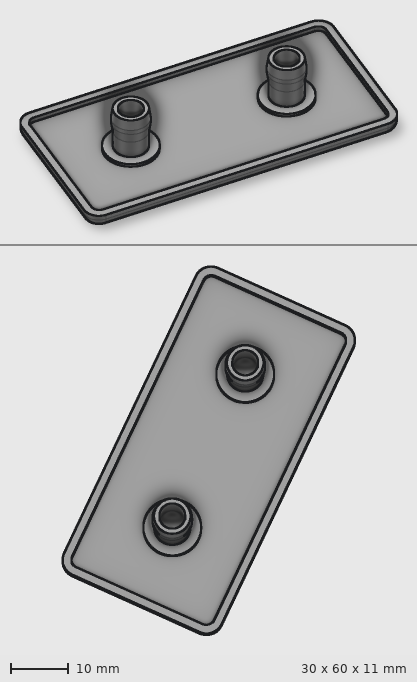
import cadquery as cq
import math

width = 30.0
length = 60.0
plate_height = 3.0
corner_radius = 2.9
rim_width = 1.5
recess_corner_radius = 1.5
rim_depth = 1.0
bottom_fillet = 2.05

post_spacing = length / 2
post_top = 11.0
post_radius = 6.3 / 2
bulge_radius = 6.9 / 2
bulge_start = 6.0
band_bottom = 8.05
band_top = 8.95

pad_radius = 10.0 / 2
pad_height = 0.6

bore_radius = 4.5 / 2
bore_bottom = 3.0

floor_z = plate_height - rim_depth


def make_plate():
    """Rounded tray with a shallow recess inside a raised rim."""
    body = cq.Workplane("XY").box(width, length, plate_height, centered=(True, True, False))
    body = body.edges("|Z").fillet(corner_radius)
    body = body.faces("<Z").edges().fillet(bottom_fillet)
    recess = (
        cq.Workplane("XY", origin=(0, 0, floor_z))
        .rect(width - 2 * rim_width, length - 2 * rim_width)
        .extrude(rim_depth)
        .edges("|Z")
        .fillet(recess_corner_radius)
    )
    return body.cut(recess)


def make_post():
    """Foot pad and post with a bulge tapering both ways, hollowed by a round-bottomed bore."""
    bore_spring_z = bore_bottom + bore_radius
    diagonal = bore_radius * math.sqrt(0.5)
    return (
        cq.Workplane("XZ")
        .moveTo(0, floor_z)
        .lineTo(pad_radius, floor_z)
        .lineTo(pad_radius, floor_z + pad_height)
        .lineTo(post_radius, floor_z + pad_height)
        .lineTo(post_radius, bulge_start)
        .lineTo(bulge_radius, band_bottom)
        .lineTo(bulge_radius, band_top)
        .lineTo(post_radius, post_top)
        .lineTo(bore_radius, post_top)
        .lineTo(bore_radius, bore_spring_z)
        .threePointArc((diagonal, bore_spring_z - diagonal), (0, bore_bottom))
        .close()
        .revolve(360, (0, 0, 0), (0, 1, 0))
    )


result = make_plate()
for side in (-1, 1):
    result = result.union(make_post().translate((0, side * post_spacing / 2, 0)))